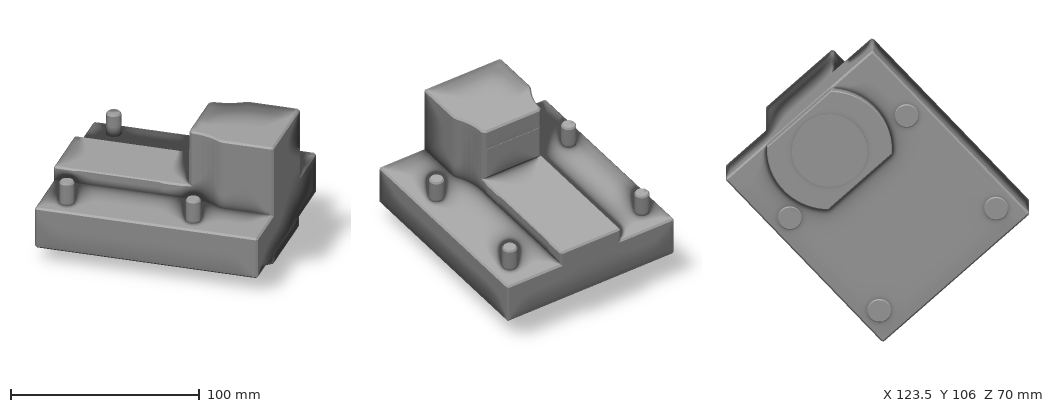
import cadquery as cq
import math

PLATE_LENGTH = 123.5
PLATE_WIDTH = 106.0
PLATE_HEIGHT = 23.8
CHAMFER = 1.0
X_LEFT = -PLATE_LENGTH / 2
X_RIGHT = PLATE_LENGTH / 2
ROOT_Z = PLATE_HEIGHT / 2

RAIL_TOP = 31.9
RAIL_HALF_WIDTH = 18.8
PAD_RISE = 0.31
PAD_RAMP_LENGTH = 3.3
LEFT_PAD_LENGTH = 11.5
RIGHT_PAD_LENGTH = 10.3
RIGHT_PAD_START = X_LEFT + 60.5
PAD_UNDERCUT_HEIGHT = 1.5
PAD_UNDERCUT_INSET = 0.06

BLOCK_TOP = 63.8
BLOCK_FACE_X = X_LEFT + 74.5
BLOCK_CORNER_CHAMFER = 2.0
BLOCK_HALF_WIDTH = 24.5
NECK_HOLLOW_RADIUS = 30.0
NECK_SHOULDER_RADIUS = 9.0
FACE_STEP_Z = 51.9
FACE_STEP_DEPTH = 0.19
FACE_RELIEF_HEIGHT = 0.5
FACE_RELIEF_DEPTH = 0.6

PIN_DIAMETER = 8.0
PIN_TIP_DIAMETER = 6.7
PIN_TOP = 36.8
PIN_LEFT_X = X_LEFT + 14.6
PIN_SPACING_X = 70.0
PIN_SPACING_Y = 84.0
FOOT_DIAMETER = 13.0
FOOT_HEIGHT = 1.0
SMALL_CHAMFER = 0.5

FLANGE_X = PIN_LEFT_X + PIN_SPACING_X + 14.7
FLANGE_DIAMETER = 66.3
FLANGE_FLATS = 47.8
FLANGE_HEIGHT = 5.7
FLANGE_PAD_DIAMETER = 40.0
FLANGE_PAD_HEIGHT = 0.5


def make_plate():
    plate = cq.Workplane("XY").box(
        PLATE_LENGTH, PLATE_WIDTH, PLATE_HEIGHT, centered=(True, True, False)
    )
    return plate.edges().chamfer(CHAMFER)


def half_rail():
    """Positive-Y half of the rail: its ramps curve away from the wall at a tangent."""
    ramp_radius = (PAD_RAMP_LENGTH**2 + PAD_RISE**2) / (2 * PAD_RISE)
    pad_y = RAIL_HALF_WIDTH + PAD_RISE
    mid_offset = PAD_RAMP_LENGTH / 2
    mid_y = RAIL_HALF_WIDTH + ramp_radius - math.sqrt(ramp_radius**2 - mid_offset**2)
    left_ramp_start = X_LEFT + LEFT_PAD_LENGTH
    left_ramp_end = left_ramp_start + PAD_RAMP_LENGTH
    right_ramp_start = RIGHT_PAD_START + RIGHT_PAD_LENGTH
    right_ramp_end = right_ramp_start + PAD_RAMP_LENGTH
    rail_end = BLOCK_FACE_X + RAIL_HALF_WIDTH
    return (
        cq.Workplane("XY", origin=(0, 0, ROOT_Z))
        .moveTo(X_LEFT, 0)
        .lineTo(X_LEFT, pad_y)
        .lineTo(left_ramp_start, pad_y)
        .threePointArc((left_ramp_end - mid_offset, mid_y), (left_ramp_end, RAIL_HALF_WIDTH))
        .lineTo(RIGHT_PAD_START - PAD_RAMP_LENGTH, RAIL_HALF_WIDTH)
        .threePointArc((RIGHT_PAD_START - mid_offset, mid_y), (RIGHT_PAD_START, pad_y))
        .lineTo(right_ramp_start, pad_y)
        .threePointArc((right_ramp_end - mid_offset, mid_y), (right_ramp_end, RAIL_HALF_WIDTH))
        .lineTo(rail_end, RAIL_HALF_WIDTH)
        .lineTo(rail_end, 0)
        .close()
        .extrude(RAIL_TOP - ROOT_Z)
    )


def make_rail():
    half = half_rail()
    rail = half.union(half.mirror("XZ"))
    rail = rail.faces("<X").edges("|Z").chamfer(CHAMFER)
    envelope = cq.Workplane("XY", origin=(X_LEFT, 0, 0)).box(
        PLATE_LENGTH, 2 * (RAIL_HALF_WIDTH + PAD_RISE), RAIL_TOP, centered=(False, True, False)
    )
    rail = rail.intersect(envelope.faces(">Z").edges().chamfer(CHAMFER))
    undercut_y = RAIL_HALF_WIDTH + PAD_UNDERCUT_INSET
    undercut = (
        cq.Workplane("XY", origin=(X_LEFT, undercut_y, PLATE_HEIGHT))
        .box(PLATE_LENGTH, PAD_RISE, PAD_UNDERCUT_HEIGHT, centered=False)
    )
    return rail.cut(undercut).cut(undercut.mirror("XZ"))


def half_block():
    """Positive-Y half of the block: a hollow arc flows into a rounded shoulder."""
    turn = math.acos(
        1 - (BLOCK_HALF_WIDTH - RAIL_HALF_WIDTH) / (NECK_HOLLOW_RADIUS + NECK_SHOULDER_RADIUS)
    )
    neck_x = BLOCK_FACE_X + BLOCK_CORNER_CHAMFER
    shoulder_end_x = neck_x + (NECK_HOLLOW_RADIUS + NECK_SHOULDER_RADIUS) * math.sin(turn)

    def hollow(angle):
        return (
            neck_x + NECK_HOLLOW_RADIUS * math.sin(angle),
            RAIL_HALF_WIDTH + NECK_HOLLOW_RADIUS * (1 - math.cos(angle)),
        )

    def shoulder(angle):
        return (
            shoulder_end_x - NECK_SHOULDER_RADIUS * math.sin(angle),
            BLOCK_HALF_WIDTH - NECK_SHOULDER_RADIUS * (1 - math.cos(angle)),
        )

    return (
        cq.Workplane("XY", origin=(0, 0, ROOT_Z))
        .moveTo(BLOCK_FACE_X, 0)
        .lineTo(BLOCK_FACE_X, RAIL_HALF_WIDTH - BLOCK_CORNER_CHAMFER)
        .lineTo(*hollow(0))
        .threePointArc(hollow(turn / 2), hollow(turn))
        .threePointArc(shoulder(turn / 2), shoulder(0))
        .lineTo(X_RIGHT, BLOCK_HALF_WIDTH)
        .lineTo(X_RIGHT, 0)
        .close()
        .extrude(BLOCK_TOP - ROOT_Z)
    )


def make_face_cutter():
    """Everything removed in front of the block face, as a side profile swept across Y."""
    upper_x = BLOCK_FACE_X + FACE_STEP_DEPTH
    relief_x = BLOCK_FACE_X + FACE_RELIEF_DEPTH
    relief_z = RAIL_TOP + FACE_RELIEF_HEIGHT
    front_x = BLOCK_FACE_X - CHAMFER
    return (
        cq.Workplane("XZ")
        .moveTo(front_x, RAIL_TOP)
        .lineTo(relief_x, RAIL_TOP)
        .lineTo(relief_x, relief_z)
        .lineTo(BLOCK_FACE_X, relief_z + CHAMFER)
        .lineTo(BLOCK_FACE_X, FACE_STEP_Z)
        .lineTo(upper_x, FACE_STEP_Z)
        .lineTo(upper_x, BLOCK_TOP - CHAMFER)
        .lineTo(upper_x + CHAMFER, BLOCK_TOP)
        .lineTo(front_x, BLOCK_TOP)
        .close()
        .extrude(BLOCK_HALF_WIDTH, both=True)
    )


def make_block():
    half = half_block()
    block = half.union(half.mirror("XZ"))
    block = block.faces(">X").edges("|Z").chamfer(CHAMFER)
    block = block.faces(">Z").edges().chamfer(CHAMFER)
    lower_front = (
        cq.Workplane("XY", origin=(BLOCK_FACE_X, 0, 0))
        .box(BLOCK_CORNER_CHAMFER, PLATE_WIDTH, RAIL_TOP, centered=(False, True, False))
    )
    return block.cut(lower_front).cut(make_face_cutter())


def make_pin(x, y):
    """One pin with its foot; the pin runs through the plate."""
    pin = cq.Workplane("XY", origin=(x, y, 0)).circle(PIN_DIAMETER / 2).extrude(PIN_TOP)
    pin = pin.faces(">Z").edges().chamfer(CHAMFER, (PIN_DIAMETER - PIN_TIP_DIAMETER) / 2)
    foot = cq.Workplane("XY", origin=(x, y, 0)).circle(FOOT_DIAMETER / 2).extrude(-FOOT_HEIGHT)
    return pin.union(foot.faces("<Z").chamfer(SMALL_CHAMFER))


def make_flange():
    center = cq.Workplane("XY", origin=(FLANGE_X, 0, 0))
    disc = center.circle(FLANGE_DIAMETER / 2).extrude(-FLANGE_HEIGHT)
    flats = center.rect(FLANGE_FLATS, FLANGE_DIAMETER).extrude(-FLANGE_HEIGHT)
    flange = disc.intersect(flats).faces("<Z").chamfer(SMALL_CHAMFER)
    pad = center.circle(FLANGE_PAD_DIAMETER / 2).extrude(-FLANGE_HEIGHT - FLANGE_PAD_HEIGHT)
    return flange.union(pad)


result = make_plate().union(make_rail()).union(make_block()).union(make_flange())
for pin_x in (PIN_LEFT_X, PIN_LEFT_X + PIN_SPACING_X):
    for pin_y in (-PIN_SPACING_Y / 2, PIN_SPACING_Y / 2):
        result = result.union(make_pin(pin_x, pin_y))